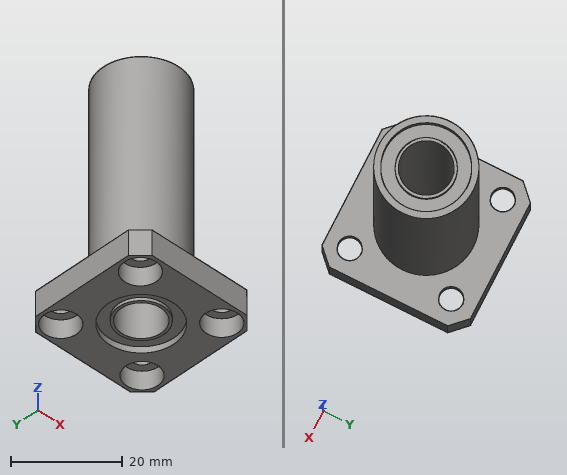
import cadquery as cq

flange_side = 30.0
flange_thickness = 6.0
corner_chamfer = 3.0

total_length = 55.0
sleeve_diameter = 19.0
bore_diameter = 10.0

recess_diameter = 16.4
recess_depth = 1.5
lip_diameter = 11.2
lip_height = 0.75

hole_spacing = 20.5
hole_diameter = 4.5
counterbore_diameter = 8.0
counterbore_depth = 4.4


def make_body():
    """Chamfered flange with the sleeve standing on it."""
    flange = (
        cq.Workplane("XY")
        .rect(flange_side, flange_side)
        .extrude(flange_thickness)
        .edges("|Z")
        .chamfer(corner_chamfer)
    )
    sleeve = cq.Workplane("XY").circle(sleeve_diameter / 2).extrude(total_length)
    return flange.union(sleeve)


def cut_end_recess(body, end_z, inward):
    """Sink one sleeve end, leaving the lip; inward is +1 or -1 along Z."""
    floor_z = end_z + inward * recess_depth
    recess = (
        cq.Workplane("XY", origin=(0, 0, end_z))
        .circle(recess_diameter / 2)
        .extrude(inward * recess_depth)
    )
    lip = (
        cq.Workplane("XY", origin=(0, 0, floor_z))
        .circle(lip_diameter / 2)
        .extrude(-inward * lip_height)
    )
    return body.cut(recess.cut(lip))


def cut_mounting_holes(body):
    """Four holes in a square, counterbored from the flange underside."""
    return (
        body.faces("<Z")
        .workplane(origin=(0, 0, 0))
        .rect(hole_spacing, hole_spacing, forConstruction=True)
        .vertices()
        .cboreHole(hole_diameter, counterbore_diameter, counterbore_depth, flange_thickness)
    )


def cut_bore(body):
    """Through bore along the sleeve axis."""
    bore = cq.Workplane("XY").circle(bore_diameter / 2).extrude(total_length)
    return body.cut(bore)


body = make_body()
body = cut_mounting_holes(body)
body = cut_end_recess(body, total_length, -1)
body = cut_end_recess(body, 0, 1)
result = cut_bore(body)